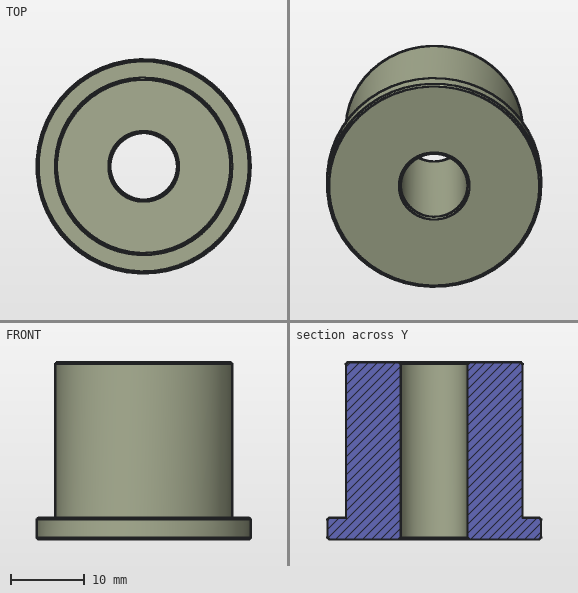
import cadquery as cq

flange_diameter = 29.0
flange_thickness = 3.0
body_diameter = 24.0
total_height = 24.0
bore_diameter = 9.0
edge_chamfer = 0.3


def chamfered_disc(diameter, height):
    """Upright cylinder standing on Z = 0 with both rims chamfered."""
    disc = cq.Workplane("XY").circle(diameter / 2).extrude(height)
    return disc.faces("<Z or >Z").chamfer(edge_chamfer)


def flanged_body():
    """Cylindrical body rising from a wider flange at its foot."""
    flange = chamfered_disc(flange_diameter, flange_thickness)
    body = cq.Workplane("XY").circle(body_diameter / 2).extrude(total_height)
    body = body.faces(">Z").chamfer(edge_chamfer)
    return flange.union(body)


def chamfered_bore():
    """Through bore with a chamfer at each mouth, as a solid to cut away."""
    bore_radius = bore_diameter / 2
    mouth_radius = bore_radius + edge_chamfer
    profile = (
        cq.Workplane("XZ")
        .moveTo(0, 0)
        .lineTo(mouth_radius, 0)
        .lineTo(bore_radius, edge_chamfer)
        .lineTo(bore_radius, total_height - edge_chamfer)
        .lineTo(mouth_radius, total_height)
        .lineTo(0, total_height)
        .close()
    )
    return profile.revolve(360, (0, 0, 0), (0, 1, 0))


result = flanged_body().cut(chamfered_bore())